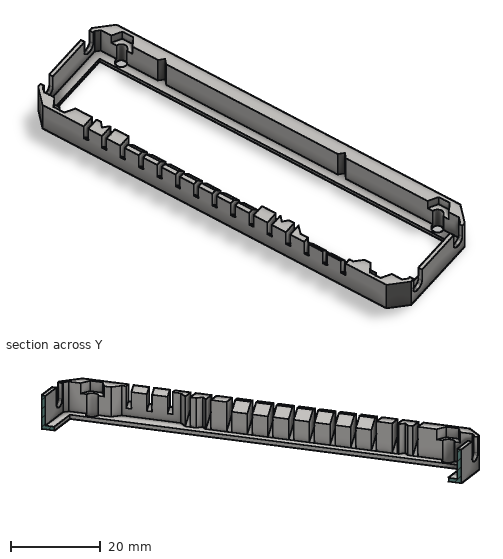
import cadquery as cq
import math

LENGTH = 101.4
WIDTH = 29.0
HEIGHT = 8.0
CORNER_CHAMFER = 4.0

END_WALL = 1.0
SIDE_WALL = 3.3
POCKET_CHAMFER = 1.0
FLOOR = 1.0
LEDGE = 2.1
POCKET_LENGTH = LENGTH - 2 * END_WALL
POCKET_WIDTH = WIDTH - 2 * SIDE_WALL

HOLE_DIAMETER = 2.8
HOLE_X = 43.0
HOLE_Y = 11.0
NUT_ACROSS_FLATS = 5.2
NUT_DEPTH = 2.4

GROOVE_XS = (-32.0, 16.8)
GROOVE_WIDTH = 2.2
GROOVE_DEPTH = 1.2

END_SLOT_Y = 7.9
END_SLOT_WIDTH = 3.3
END_SLOT_BOTTOM = 2.8
END_SLOT_FILLET = 1.5

SLOT_ROW_LENGTH = 70.0
LAST_SLOT = 7
SLOT_PITCH = SLOT_ROW_LENGTH / (2 * LAST_SLOT)
SLOT_WIDTH = 1.2
SLOT_LIP = 0.3
SLOT_BOTTOM = FLOOR + SIDE_WALL - SLOT_LIP

LONG_RECESS = (-5, 2)
LONG_RECESS_LIP = 1.2
SHORT_RECESS = (5, 7)
SHORT_RECESS_LIP = 0.3

RELIEF_X = 29.5
RELIEF_LENGTH = 17.9
RELIEF_DEPTH = 1.8

FRONT_Y = -WIDTH / 2
POCKET_FRONT_Y = -POCKET_WIDTH / 2


def block(length, width, corner, bottom):
    """Centred block with chamfered upright corners, from bottom to the frame top."""
    body = cq.Workplane("XY").workplane(offset=bottom).rect(length, width).extrude(HEIGHT - bottom)
    return body.edges("|Z").chamfer(corner)


def prism(points, bottom):
    """Upright prism from bottom to the frame top."""
    return cq.Workplane("XY").workplane(offset=bottom).polyline(points).close().extrude(HEIGHT - bottom)


def wall_profile_cut(profile, x_start, x_end):
    """Cut of a Y-Z profile along the front wall."""
    return cq.Workplane("YZ").workplane(offset=x_start).polyline(profile).close().extrude(x_end - x_start)


def frame():
    window_length = POCKET_LENGTH - 2 * LEDGE
    window_width = POCKET_WIDTH - 2 * LEDGE
    body = block(LENGTH, WIDTH, CORNER_CHAMFER, 0)
    body = body.cut(block(POCKET_LENGTH, POCKET_WIDTH, POCKET_CHAMFER, FLOOR))
    return body.cut(cq.Workplane("XY").rect(window_length, window_width).extrude(HEIGHT))


def screw_holes():
    corners = [(x, y) for x in (-HOLE_X, HOLE_X) for y in (-HOLE_Y, HOLE_Y)]
    nut_across_corners = NUT_ACROSS_FLATS / math.cos(math.pi / 6)
    holes = cq.Workplane("XY").pushPoints(corners).circle(HOLE_DIAMETER / 2).extrude(HEIGHT)
    traps = cq.Workplane("XY").workplane(offset=HEIGHT - NUT_DEPTH).pushPoints(corners)
    return holes.union(traps.polygon(6, nut_across_corners).extrude(NUT_DEPTH))


def wall_groove(x, side):
    wall_y = side * POCKET_WIDTH / 2
    points = [
        (x - GROOVE_WIDTH / 2, wall_y),
        (x, wall_y + side * GROOVE_DEPTH),
        (x + GROOVE_WIDTH / 2, wall_y),
    ]
    return prism(points, FLOOR)


def end_slot(y):
    depth = HEIGHT - END_SLOT_BOTTOM
    cutter = cq.Workplane("XY").box(LENGTH, END_SLOT_WIDTH, 2 * depth)
    cutter = cutter.edges("|X and <Z").fillet(END_SLOT_FILLET)
    return cutter.translate((0, y, HEIGHT))


def relief():
    half = RELIEF_LENGTH / 2
    inner_y = POCKET_FRONT_Y - RELIEF_DEPTH
    points = [
        (RELIEF_X - half, POCKET_FRONT_Y),
        (RELIEF_X - half + RELIEF_DEPTH, inner_y),
        (RELIEF_X + half - RELIEF_DEPTH, inner_y),
        (RELIEF_X + half, POCKET_FRONT_Y),
    ]
    return prism(points, FLOOR)


def front_slot(x):
    profile = [
        (FRONT_Y, HEIGHT),
        (FRONT_Y, SLOT_BOTTOM),
        (FRONT_Y + SLOT_LIP, SLOT_BOTTOM),
        (POCKET_FRONT_Y, FLOOR),
        (POCKET_FRONT_Y, HEIGHT),
    ]
    return wall_profile_cut(profile, x - SLOT_WIDTH / 2, x + SLOT_WIDTH / 2)


def sloped_recess(slots, lip):
    first, last = slots
    fall = SIDE_WALL - lip
    profile = [
        (FRONT_Y + lip, HEIGHT),
        (POCKET_FRONT_Y, HEIGHT - fall),
        (POCKET_FRONT_Y, HEIGHT),
    ]
    return wall_profile_cut(profile, first * SLOT_PITCH, last * SLOT_PITCH)


result = frame().cut(screw_holes()).cut(relief())

for groove_x in GROOVE_XS:
    for wall_side in (-1, 1):
        result = result.cut(wall_groove(groove_x, wall_side))

for slot_y in (-END_SLOT_Y, END_SLOT_Y):
    result = result.cut(end_slot(slot_y))

for index in range(-LAST_SLOT, LAST_SLOT + 1):
    result = result.cut(front_slot(index * SLOT_PITCH))

result = result.cut(sloped_recess(LONG_RECESS, LONG_RECESS_LIP))
result = result.cut(sloped_recess(SHORT_RECESS, SHORT_RECESS_LIP))